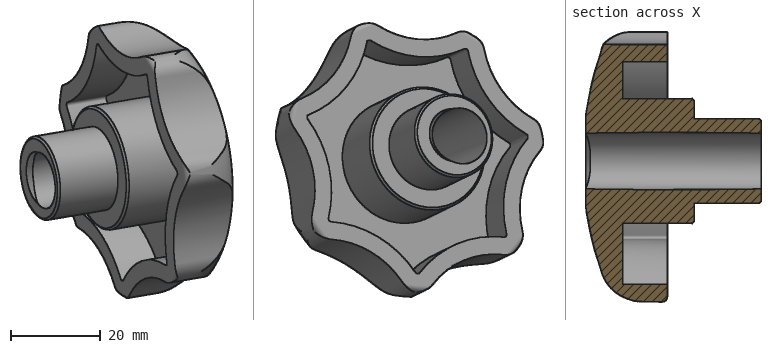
import cadquery as cq
import math

LOBES = 7
LOBE_RADIUS = 4.7
TIP_RADIUS = 31.5
VALLEY_RADIUS = 26.1
WALL = 4.0
POCKET_DEPTH = 10.0

HEAD_HEIGHT = 18.3
DOME_FLAT_RADIUS = 10.5
SHOULDER_ROUNDING = 9.55
SHOULDER_SWEEP = 76
SHOULDER_START = 5.75
SHOULDER_END_RADIUS = 31.45
DOME_BULGE = (17.4, 16.95)
TIP_ROUNDING = 1.25

HUB_DIAMETER = 28.0
HUB_LENGTH = 6.0
SLEEVE_DIAMETER = 19.0
SLEEVE_LENGTH = 20.95
EDGE_CHAMFER = 0.5

BORE_DIAMETER = 12.7
BORE_TILT = 4.5
MOUTH_DIAMETER = 12.1
MOUTH_DEPTH = 1.05

STEP_ANGLE = 2 * math.pi / LOBES
LOBE_CENTRE = TIP_RADIUS - LOBE_RADIUS
side = LOBE_CENTRE * math.sin(STEP_ANGLE / 2)
rise = LOBE_CENTRE * math.cos(STEP_ANGLE / 2) - VALLEY_RADIUS
FLUTE_RADIUS = (side**2 + rise**2 - LOBE_RADIUS**2) / (2 * (LOBE_RADIUS + rise))


def polar(radius, angle):
    return (radius * math.cos(angle), radius * math.sin(angle))


def star(inset, depth):
    """Lobed prism from Y = 0 to Y = depth, its outline moved inwards by inset."""
    lobe = LOBE_RADIUS - inset
    flute = FLUTE_RADIUS + inset
    flute_centre = VALLEY_RADIUS + FLUTE_RADIUS

    def joint(lobe_angle, flute_angle):
        """Tangent point between a lobe and a flute."""
        a = polar(LOBE_CENTRE, lobe_angle)
        b = polar(flute_centre, flute_angle)
        t = lobe / (lobe + flute)
        return (a[0] + t * (b[0] - a[0]), a[1] + t * (b[1] - a[1]))

    half = STEP_ANGLE / 2
    first = -math.pi / 2
    outline = cq.Workplane("XZ").moveTo(*joint(first, first - half))
    for i in range(LOBES):
        angle = first + i * STEP_ANGLE
        outline = outline.threePointArc(polar(TIP_RADIUS - inset, angle), joint(angle, angle + half))
        outline = outline.threePointArc(
            polar(VALLEY_RADIUS - inset, angle + half), joint(angle + STEP_ANGLE, angle + half)
        )
    return outline.close().extrude(-depth)


def head_envelope():
    """Turned shape that rounds the top of the lobed head and its rim edge."""
    def shoulder_point(degrees):
        x, y = polar(SHOULDER_ROUNDING, math.radians(degrees))
        return (SHOULDER_END_RADIUS - SHOULDER_ROUNDING + x, SHOULDER_START + y)

    return (
        cq.Workplane("XY")
        .lineTo(TIP_RADIUS - TIP_ROUNDING, 0)
        .radiusArc((TIP_RADIUS, TIP_ROUNDING), -TIP_ROUNDING)
        .lineTo(SHOULDER_END_RADIUS, SHOULDER_START)
        .threePointArc(shoulder_point(SHOULDER_SWEEP / 2), shoulder_point(SHOULDER_SWEEP))
        .threePointArc(DOME_BULGE, (DOME_FLAT_RADIUS, HEAD_HEIGHT))
        .lineTo(0, HEAD_HEIGHT)
        .close()
        .revolve(360, (0, 0, 0), (0, 1, 0))
    )


def stem(diameter, length):
    """Round stem from the pocket floor down to length below the rim, end chamfered."""
    return (
        cq.Workplane("XZ", origin=(0, POCKET_DEPTH, 0))
        .circle(diameter / 2)
        .extrude(POCKET_DEPTH + length)
        .faces("<Y")
        .chamfer(EDGE_CHAMFER)
    )


def bore():
    """Tilted through bore, crossing the axis at mid-length and offset to +X at the stem end."""
    total = HEAD_HEIGHT + SLEEVE_LENGTH
    middle = (HEAD_HEIGHT - SLEEVE_LENGTH) / 2
    tilted = (
        cq.Workplane("XZ")
        .circle(BORE_DIAMETER / 2)
        .extrude(total, both=True)
        .rotate((0, 0, 0), (0, 0, 1), BORE_TILT)
        .translate((0, middle, 0))
    )
    mouth = MOUTH_DIAMETER / 2
    for end_y, inward in ((-SLEEVE_LENGTH, 1), (HEAD_HEIGHT, -1)):
        cone = cq.Solid.makeCone(
            mouth, mouth - MOUTH_DEPTH, MOUTH_DEPTH, cq.Vector(0, end_y, 0), cq.Vector(0, inward, 0)
        )
        tilted = tilted.union(cq.Workplane(cone))
    return tilted


head = star(0, HEAD_HEIGHT).intersect(head_envelope()).cut(star(WALL, POCKET_DEPTH))
body = head.union(stem(HUB_DIAMETER, HUB_LENGTH)).union(stem(SLEEVE_DIAMETER, SLEEVE_LENGTH))
result = body.cut(bore())